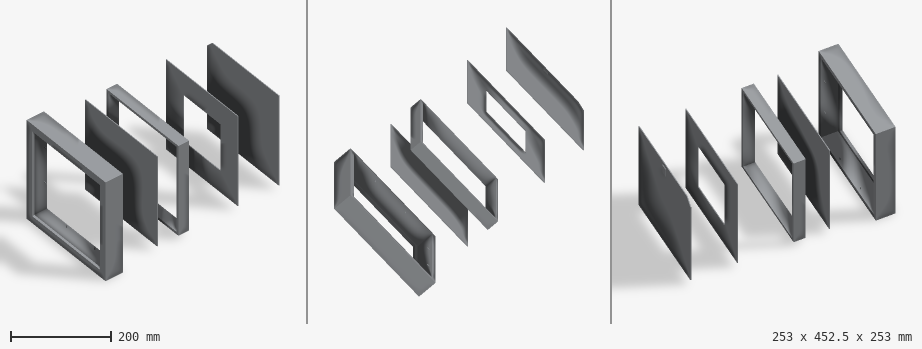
import cadquery as cq


frame_side = 253.0
frame_depth = 44.0
opening_side = 217.0
lip_thickness = 6.0
rebate_side = 232.0

tab_spacing = 90.0
tab_width = 3.0
tab_thickness = 1.0
tab_height = 6.0
tab_front_y = 36.5

insert_side = 230.0
sheet_thickness = 1.9

glass_front_y = 140.0

spacer_front_y = 194.25
spacer_depth = 27.0
spacer_wall = 6.25

mat_front_y = 345.0
mat_opening_side = 119.0

stack_length = 452.49
corner_cut = 17.0
hanger_width = 14.0
hanger_height = 21.0
hanger_thickness = 1.25
hanger_center_z = 95.5
backing_front_y = stack_length - hanger_thickness - sheet_thickness


def square_block(side, front_y, depth):
    """Square block centred on the Y axis that runs back from front_y."""
    return cq.Workplane("XY").box(side, depth, side).translate((0, front_y + depth / 2, 0))


def make_tab(x, wall_angle):
    """Tab standing on the rebate floor at x, then turned about Y onto its wall."""
    tab_center_y = tab_front_y + tab_thickness / 2
    return (
        cq.Workplane("XY", origin=(x, tab_center_y, -rebate_side / 2))
        .rect(tab_width, tab_thickness)
        .extrude(tab_height)
        .rotate((0, 0, 0), (0, 1, 0), wall_angle)
    )


def make_frame():
    """Frame with a front lip, a deeper rebate behind it and two tabs on each wall."""
    body = square_block(frame_side, 0, frame_depth)
    body = body.cut(square_block(opening_side, 0, lip_thickness))
    body = body.cut(square_block(rebate_side, lip_thickness, frame_depth - lip_thickness))
    for wall_angle in (0, 90, 180, 270):
        for x in (-tab_spacing / 2, tab_spacing / 2):
            body = body.union(make_tab(x, wall_angle))
    return body


def make_glass():
    return square_block(insert_side, glass_front_y, sheet_thickness)


def make_spacer():
    outer = square_block(insert_side, spacer_front_y, spacer_depth)
    return outer.cut(square_block(insert_side - 2 * spacer_wall, spacer_front_y, spacer_depth))


def make_mat():
    sheet = square_block(insert_side, mat_front_y, sheet_thickness)
    return sheet.cut(square_block(mat_opening_side, mat_front_y, sheet_thickness))


def make_backing():
    """Backing sheet with one cut corner and a hanger plate on its rear face."""
    sheet = square_block(insert_side, backing_front_y, sheet_thickness)
    sheet = sheet.edges("|Y and <X and >Z").chamfer(corner_cut)
    hanger_center_y = stack_length - hanger_thickness / 2
    hanger = (
        cq.Workplane("XY")
        .box(hanger_width, hanger_thickness, hanger_height)
        .translate((0, hanger_center_y, hanger_center_z))
    )
    return sheet.union(hanger)


frame = make_frame()
glass = make_glass()
spacer = make_spacer()
mat = make_mat()
backing = make_backing()

result = cq.Compound.makeCompound(
    [frame.val(), glass.val(), spacer.val(), mat.val(), backing.val()]
)